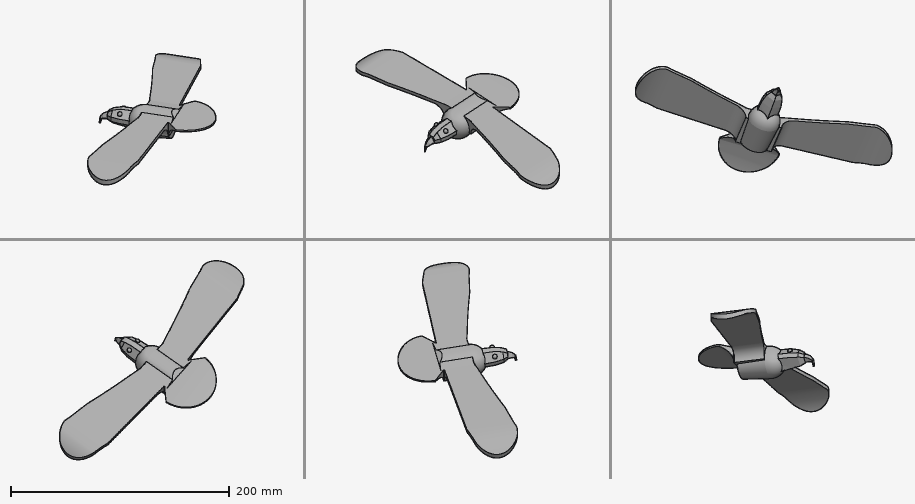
import cadquery as cq
import math


body_radius = 15.0
body_length = 27.5
rump_drop = 12.3
rump_radius = (body_radius + rump_drop) / 2
back_length = 31.8
back_slope_start = 26.9
saddle_y = 8.0
saddle_z = math.sqrt(body_radius**2 - saddle_y**2)

root_half_width = 17.5
root_length = 29.0
root_bottom = -3.0

wing_top = 12.0
wing_thickness = 3.7
wing_bottom = wing_top - wing_thickness
half_span = 123.2
droop_start = 95.4
droop_radius = 43.9
leading_root_y = 15.5
leading_curve_start = (-6.7, 43.0)
leading_curve_middle = (-10.0, 56.0)
leading_curve_end = (-15.8, 75.7)
leading_tip_x = -19.5
tip_trailing_angle = 22.0
wing_root_trailing_x = 28.3
wing_tip_trailing_x = 24.5
tip_radius = 21.2
tip_center_y = half_span - tip_radius
fillet_height = wing_bottom - root_bottom
fillet_reach = 10.3

tail_thickness = 1.7
tail_bottom = wing_top - tail_thickness
tail_end = 67.5
tail_half_width = 28.8
tail_arc_start = 39.5
tail_bend_x = 42.1
tail_bend_angle = 5.4
tail_margin = 5.0
tail_fillet_end = 41.2
tail_droop_radius = 152.8

head_stations = [
    (-34.3, 4.7, 4.5, 2.0, -1.0, -5.0),
    (-29.5, 7.6, 7.6, 3.0, -1.5, -7.5),
    (-21.5, 9.9, 9.4, 3.0, -1.5, -8.6),
    (-9.9, 10.0, 9.9, 3.0, -1.5, -10.5),
]
crown_half_width = 2.7
eye_center = (-21.5, 6.0, 6.5)
eye_radius = 2.2

beak_stations = [
    ((-34.3, 4.5), (-34.3, -4.5), 4.5),
    ((-39.2, 1.7), (-37.5, -4.2), 3.2),
    ((-42.5, -2.5), (-40.7, -4.7), 1.5),
    ((-43.4, -9.0), (-42.0, -9.0), 0.2),
]
beak_side_fraction = 0.6


def droop(run, radius):
    """Drop of an arc that starts level, after a horizontal run."""
    return radius - math.sqrt(radius**2 - run**2)


def ruled_loft(sections):
    """Straight-sided solid through a list of closed point loops."""
    wires = [cq.Wire.makePolygon([cq.Vector(*p) for p in loop], close=True) for loop in sections]
    return cq.Workplane(obj=cq.Solid.makeLoft(wires, True))


def make_body():
    breast = (
        cq.Workplane("XY")
        .moveTo(-body_radius, 0)
        .threePointArc((-body_radius * math.sqrt(0.5), body_radius * math.sqrt(0.5)), (0, body_radius))
        .lineTo(0, 0)
        .close().revolve(360, (0, 0, 0), (1, 0, 0))
    )
    rump_center_z = body_radius - rump_radius
    trunk = (
        cq.Workplane("YZ").circle(body_radius)
        .workplane(offset=body_length).center(0, rump_center_z).circle(rump_radius)
        .loft(ruled=True)
    )
    lower_half = (
        cq.Workplane("XY")
        .box(body_length, 2 * root_half_width, body_radius, centered=(False, True, False))
        .translate((0, 0, -body_radius))
    )
    return breast.union(trunk.intersect(lower_half))


def make_root():
    block = (
        cq.Workplane("YZ")
        .moveTo(-root_half_width, root_bottom)
        .lineTo(root_half_width, root_bottom)
        .lineTo(root_half_width, wing_top)
        .lineTo(-root_half_width, wing_top)
        .close().extrude(root_length)
    )
    back = (
        cq.Workplane("YZ")
        .moveTo(-root_half_width, tail_bottom)
        .lineTo(-root_half_width, wing_top)
        .lineTo(-saddle_y, saddle_z)
        .threePointArc((0, body_radius), (saddle_y, saddle_z))
        .lineTo(root_half_width, wing_top)
        .lineTo(root_half_width, tail_bottom)
        .close().extrude(back_length)
    )
    slope_cut = (
        cq.Workplane("XZ")
        .moveTo(back_slope_start, body_radius)
        .lineTo(back_length, wing_top)
        .lineTo(back_length, body_radius)
        .close().extrude(root_half_width, both=True)
    )
    return block.union(back.cut(slope_cut))


def make_wing():
    """Wing on the +Y side: its bent section trimmed to its outline from above."""
    lower_radius = droop_radius - wing_thickness
    run = half_span - droop_start
    outer_top = wing_top - droop(run, droop_radius)
    outer_bottom = wing_bottom - droop(run, lower_radius)
    half_run = run / 2
    middle_y = droop_start + half_run
    fillet_middle = math.sqrt(0.5)
    section = (
        cq.Workplane("YZ").workplane(offset=-2 * tip_radius)
        .moveTo(0, wing_top)
        .lineTo(droop_start, wing_top)
        .threePointArc((middle_y, wing_top - droop(half_run, droop_radius)), (half_span, outer_top))
        .lineTo(half_span, outer_bottom)
        .threePointArc(
            (middle_y, wing_bottom - droop(half_run, lower_radius)), (droop_start, wing_bottom)
        )
        .lineTo(root_half_width + fillet_reach, wing_bottom)
        .threePointArc(
            (
                root_half_width + fillet_reach * (1 - fillet_middle),
                wing_bottom - fillet_height * (1 - fillet_middle),
            ),
            (root_half_width, root_bottom),
        )
        .lineTo(0, root_bottom)
        .close().extrude(4 * tip_radius)
    )
    end_angle = math.radians(tip_trailing_angle)
    tip_trailing_point = (
        tip_radius * math.cos(end_angle),
        tip_center_y + tip_radius * math.sin(end_angle),
    )
    outline = (
        cq.Workplane("XY").workplane(offset=-body_radius)
        .moveTo(0, 0)
        .lineTo(0, leading_root_y)
        .lineTo(*leading_curve_start)
        .threePointArc(leading_curve_middle, leading_curve_end)
        .lineTo(leading_tip_x, droop_start)
        .lineTo(-tip_radius, tip_center_y)
        .threePointArc((0, half_span), tip_trailing_point)
        .lineTo(wing_tip_trailing_x, droop_start)
        .lineTo(wing_root_trailing_x, root_half_width)
        .lineTo(wing_root_trailing_x, 0)
        .close().extrude(2 * body_radius)
    )
    return section.intersect(outline)


def make_tail():
    run = tail_end - tail_bend_x + tail_margin
    half_run = run / 2
    middle_x = tail_bend_x + half_run
    end_x = tail_bend_x + run
    end_drop = droop(run, tail_droop_radius)
    middle_drop = droop(half_run, tail_droop_radius)
    plate = (
        cq.Workplane("XZ")
        .moveTo(body_length - tail_margin, wing_top)
        .lineTo(tail_bend_x, wing_top)
        .threePointArc((middle_x, wing_top - middle_drop), (end_x, wing_top - end_drop))
        .lineTo(end_x, tail_bottom - end_drop)
        .threePointArc((middle_x, tail_bottom - middle_drop), (tail_bend_x, tail_bottom))
        .lineTo(body_length - tail_margin, tail_bottom)
        .close().extrude(tail_half_width + tail_margin, both=True)
        .rotate((tail_bend_x, 0, 0), (tail_bend_x, 0, 1), tail_bend_angle)
    )
    reach = tail_fillet_end - root_length
    height = tail_bottom - root_bottom
    fillet_middle = math.sqrt(0.5)
    fillet = (
        cq.Workplane("XZ")
        .moveTo(body_length, tail_bottom)
        .lineTo(tail_fillet_end, tail_bottom)
        .threePointArc(
            (root_length + reach * (1 - fillet_middle), tail_bottom - height * (1 - fillet_middle)),
            (root_length, root_bottom),
        )
        .lineTo(body_length, root_bottom)
        .close().extrude(tail_half_width, both=True)
    )
    outline = (
        cq.Workplane("XY").workplane(offset=-body_radius)
        .moveTo(body_length, -root_half_width)
        .lineTo(root_length, -root_half_width)
        .lineTo(tail_arc_start, -tail_half_width)
        .threePointArc((tail_end, 0), (tail_arc_start, tail_half_width))
        .lineTo(root_length, root_half_width)
        .lineTo(body_length, root_half_width)
        .close().extrude(2 * body_radius)
    )
    return plate.union(fillet).intersect(outline)


def head_section(x, crown, half_width, shoulder, cheek, chin):
    return [
        (x, -crown_half_width, crown),
        (x, crown_half_width, crown),
        (x, half_width, shoulder),
        (x, half_width, cheek),
        (x, 0, chin),
        (x, -half_width, cheek),
        (x, -half_width, shoulder),
    ]


def make_head():
    head = ruled_loft([head_section(*station) for station in head_stations])
    x, y, z = eye_center
    eyes = cq.Workplane("XY").pushPoints([(x, y), (x, -y)]).sphere(eye_radius)
    return head.union(eyes.translate((0, 0, z)))


def beak_section(ridge, underside, half_width):
    side_x = ridge[0] + beak_side_fraction * (underside[0] - ridge[0])
    side_z = ridge[1] + beak_side_fraction * (underside[1] - ridge[1])
    return [
        (ridge[0], 0, ridge[1]),
        (side_x, half_width, side_z),
        (underside[0], 0, underside[1]),
        (side_x, -half_width, side_z),
    ]


def make_beak():
    return ruled_loft([beak_section(*station) for station in beak_stations])


wing = make_wing()
result = (
    make_body()
    .union(make_root())
    .union(wing)
    .union(wing.mirror("XZ"))
    .union(make_tail())
    .union(make_head())
    .union(make_beak())
)